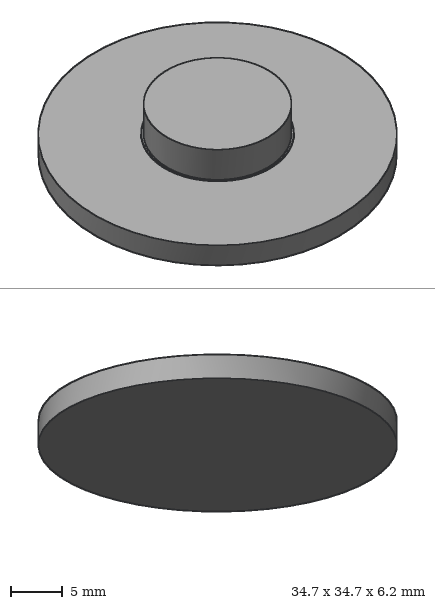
import cadquery as cq

disc_diameter = 34.7
disc_thickness = 2.5
total_height = 6.2
plug_diameter = 14.7
boss_diameter = 14.3
recess_diameter = 14.8

recess_depth = disc_thickness / 2
recess_floor = disc_thickness - recess_depth
boss_height = total_height - disc_thickness


def make_disc():
    """Flat round disc with a blind central recess in its top face."""
    blank = cq.Workplane("XY").circle(disc_diameter / 2).extrude(disc_thickness)
    return blank.faces(">Z").workplane().hole(recess_diameter, recess_depth)


def make_plug():
    """Stepped plug: a wide base resting in the recess, flush with the disc, and a narrower boss above."""
    base = cq.Workplane("XY").workplane(offset=recess_floor).circle(plug_diameter / 2).extrude(recess_depth)
    return base.faces(">Z").workplane().circle(boss_diameter / 2).extrude(boss_height)


disc = make_disc()
plug = make_plug()

result = cq.Compound.makeCompound([disc.val(), plug.val()])